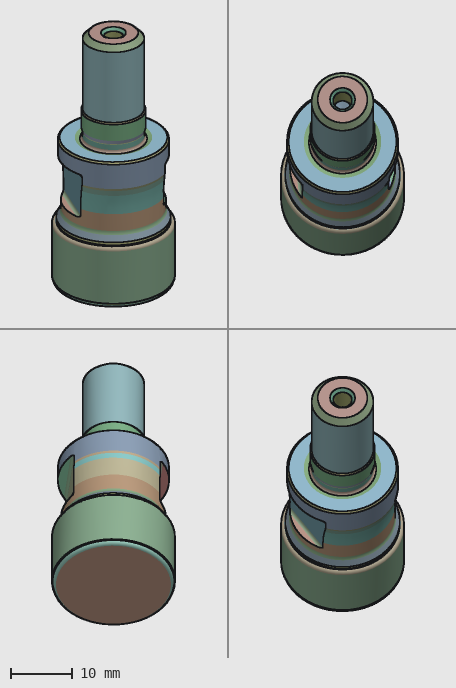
import cadquery as cq
import math

TOTAL_HEIGHT = 45.0

HEAD_DIAMETER = 19.95
HEAD_RADIUS = HEAD_DIAMETER / 2
HEAD_HEIGHT = 10.9
SEAT_HEIGHT = 11.1
HEAD_EDGE = 0.55
HEAD_RIM_HEIGHT = 0.7
HEAD_RIM_STEP = 0.15

SHOULDER_RADIUS = 9.25
SHOULDER_CONE_ANGLE = 30.0
WAIST_RADIUS = 8.5
WAIST_BOTTOM = 13.3
WAIST_BLEND = 1.35
WAIST_TOP = 16.4
FLANGE_RADIUS = 9.0
FLANGE_BOTTOM = 21.2
FLANGE_TOP = 25.95
FLANGE_CHAMFER = 0.3
FLARE_RADIUS = 8.78
FLARE_TOP = 19.85
FLARE_CONE_RADIUS = 8.9
FLARE_CONE_TOP = 20.8

NECK_RADIUS = 5.05
NECK_FILLET = 0.55
NECK_TOP = 27.25
NECK_BLEND = 0.55
RELIEF_RADIUS = 6.25
RELIEF_ANGLE = 15.0
COLLAR_DIAMETER = 10.5
COLLAR_RADIUS = COLLAR_DIAMETER / 2
COLLAR_BOTTOM = 28.0
COLLAR_TOP = 31.25
SHANK_RADIUS = 5.0
COLLAR_CHAMFER = COLLAR_RADIUS - SHANK_RADIUS
SHANK_CHAMFER = 1.0

HOLE_DIAMETER = 3.0
HOLE_RADIUS = HOLE_DIAMETER / 2
HOLE_MOUTH_RADIUS = 2.02
HOLE_DEPTH = 4.5
HOLE_TIP_ANGLE = 118.0

ACROSS_FLATS = 14.0
FLAT_BOTTOM = 14.7
FLAT_TOP = 22.9
FLAT_FILLET = 0.5
FLAT_TURN = -9.5


def make_head():
    rim_radius = HEAD_RADIUS - HEAD_RIM_STEP
    profile = (
        cq.Workplane("XZ")
        .lineTo(rim_radius - HEAD_EDGE, 0)
        .radiusArc((rim_radius, HEAD_EDGE), -HEAD_EDGE)
        .lineTo(rim_radius, HEAD_RIM_HEIGHT)
        .lineTo(HEAD_RADIUS, HEAD_RIM_HEIGHT + HEAD_RIM_STEP)
        .lineTo(HEAD_RADIUS, HEAD_HEIGHT - HEAD_EDGE)
        .radiusArc((HEAD_RADIUS - HEAD_EDGE, HEAD_HEIGHT), -HEAD_EDGE)
        .lineTo(SHOULDER_RADIUS, HEAD_HEIGHT)
        .lineTo(SHOULDER_RADIUS, SEAT_HEIGHT)
        .lineTo(0, SEAT_HEIGHT)
        .close()
    )
    return profile.revolve(360, (0, 0, 0), (0, 1, 0))


def make_holder_blank():
    flare_rise = FLARE_TOP - WAIST_TOP
    flare_run = FLARE_RADIUS - WAIST_RADIUS
    flare_arc_radius = (flare_rise**2 + flare_run**2) / (2 * flare_run)

    cone_angle = math.radians(SHOULDER_CONE_ANGLE)
    cone_top_radius = WAIST_RADIUS + WAIST_BLEND * (1 - math.cos(cone_angle))
    cone_top = WAIST_BOTTOM - WAIST_BLEND * math.sin(cone_angle)
    shoulder_top = cone_top - (SHOULDER_RADIUS - cone_top_radius) / math.tan(cone_angle)

    relief_angle = math.radians(RELIEF_ANGLE)
    fillet_end_radius = NECK_RADIUS + NECK_FILLET * (1 - math.sin(relief_angle))
    relief_depth = (RELIEF_RADIUS - fillet_end_radius) * math.tan(relief_angle)
    fillet_end = FLANGE_TOP - relief_depth
    neck_fillet_top = fillet_end + NECK_FILLET * math.cos(relief_angle)

    collar_cone_angle = math.atan2(COLLAR_RADIUS - NECK_RADIUS, COLLAR_BOTTOM - NECK_TOP)
    blend_reach = NECK_BLEND * math.tan(collar_cone_angle / 2)
    blend_end_radius = NECK_RADIUS + blend_reach * math.sin(collar_cone_angle)
    blend_end = NECK_TOP + blend_reach * math.cos(collar_cone_angle)

    profile = (
        cq.Workplane("XZ")
        .moveTo(0, SEAT_HEIGHT)
        .lineTo(SHOULDER_RADIUS, SEAT_HEIGHT)
        .lineTo(SHOULDER_RADIUS, shoulder_top)
        .lineTo(cone_top_radius, cone_top)
        .radiusArc((WAIST_RADIUS, WAIST_BOTTOM), WAIST_BLEND)
        .lineTo(WAIST_RADIUS, WAIST_TOP)
        .radiusArc((FLARE_RADIUS, FLARE_TOP), flare_arc_radius)
        .lineTo(FLARE_CONE_RADIUS, FLARE_CONE_TOP)
        .lineTo(FLANGE_RADIUS, FLANGE_BOTTOM)
        .lineTo(FLANGE_RADIUS, FLANGE_TOP - FLANGE_CHAMFER)
        .lineTo(FLANGE_RADIUS - FLANGE_CHAMFER, FLANGE_TOP)
        .lineTo(RELIEF_RADIUS, FLANGE_TOP)
        .lineTo(fillet_end_radius, fillet_end)
        .radiusArc((NECK_RADIUS, neck_fillet_top), NECK_FILLET)
        .lineTo(NECK_RADIUS, NECK_TOP - blend_reach)
        .radiusArc((blend_end_radius, blend_end), NECK_BLEND)
        .lineTo(COLLAR_RADIUS, COLLAR_BOTTOM)
        .lineTo(COLLAR_RADIUS, COLLAR_TOP - COLLAR_CHAMFER)
        .lineTo(SHANK_RADIUS, COLLAR_TOP)
        .lineTo(SHANK_RADIUS, TOTAL_HEIGHT - SHANK_CHAMFER)
        .lineTo(SHANK_RADIUS - SHANK_CHAMFER, TOTAL_HEIGHT)
        .lineTo(0, TOTAL_HEIGHT)
        .close()
    )
    return profile.revolve(360, (0, 0, 0), (0, 1, 0))


def make_centre_hole():
    mouth_depth = HOLE_MOUTH_RADIUS - HOLE_RADIUS
    tip_depth = HOLE_RADIUS / math.tan(math.radians(HOLE_TIP_ANGLE / 2))
    hole_floor = TOTAL_HEIGHT - HOLE_DEPTH
    profile = (
        cq.Workplane("XZ")
        .moveTo(0, TOTAL_HEIGHT)
        .lineTo(HOLE_MOUTH_RADIUS, TOTAL_HEIGHT)
        .lineTo(HOLE_RADIUS, TOTAL_HEIGHT - mouth_depth)
        .lineTo(HOLE_RADIUS, hole_floor)
        .lineTo(0, hole_floor - tip_depth)
        .close()
    )
    return profile.revolve(360, (0, 0, 0), (0, 1, 0))


def make_flat_cutter(angle):
    """Block that cuts one wrench flat, with its inner edges rounded."""
    cutter = (
        cq.Workplane("XY")
        .box(
            2 * HEAD_RADIUS,
            HEAD_RADIUS,
            FLAT_TOP - FLAT_BOTTOM,
            centered=(True, False, False),
        )
        .translate((0, ACROSS_FLATS / 2, FLAT_BOTTOM))
        .faces("<Y")
        .edges("|X")
        .fillet(FLAT_FILLET)
    )
    return cutter.rotate((0, 0, 0), (0, 0, 1), angle)


def make_holder():
    holder = make_holder_blank().cut(make_centre_hole())
    for half_turn in (0, 180):
        holder = holder.cut(make_flat_cutter(FLAT_TURN + half_turn))
    return holder


head = make_head()
holder = make_holder()
result = cq.Compound.makeCompound([head.val(), holder.val()])